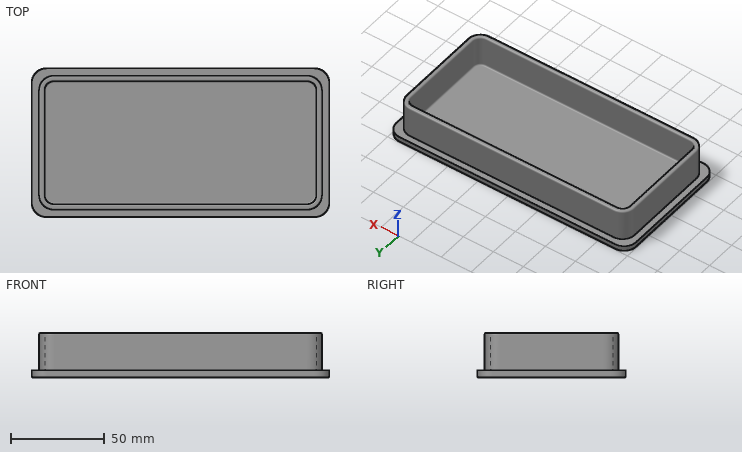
import cadquery as cq

flange_length = 160.0
flange_width = 80.0
flange_thickness = 4.0
corner_radius = 8.0

overall_height = 24.0
flange_lip = 4.0
wall_thickness = 3.0
floor_thickness = flange_thickness
edge_radius = 1.0

tray_length = flange_length - 2 * flange_lip
tray_width = flange_width - 2 * flange_lip
cavity_length = tray_length - 2 * wall_thickness
cavity_width = tray_width - 2 * wall_thickness
cavity_corner_radius = corner_radius - wall_thickness


def rounded_block(length, width, radius, bottom, top):
    """Block centred on Z with rounded vertical corners, from bottom to top."""
    return (
        cq.Workplane("XY", origin=(0, 0, bottom))
        .rect(length, width)
        .extrude(top - bottom)
        .edges("|Z")
        .fillet(radius)
    )


def make_flange():
    """Base plate with a rounded lower rim."""
    flange = rounded_block(flange_length, flange_width, corner_radius, 0, flange_thickness)
    return flange.faces("<Z").edges().fillet(edge_radius)


def make_cavity():
    """Open pocket whose floor meets the walls in a small fillet."""
    cavity = rounded_block(
        cavity_length, cavity_width, cavity_corner_radius, floor_thickness, overall_height
    )
    return cavity.faces("<Z").edges().fillet(edge_radius)


def make_tray():
    """Flange and raised block joined, hollowed out, with both rim edges rounded."""
    raised_block = rounded_block(tray_length, tray_width, corner_radius, 0, overall_height)
    body = make_flange().union(raised_block)
    tray = body.cut(make_cavity())
    return tray.faces(">Z").edges().fillet(edge_radius)


result = make_tray()